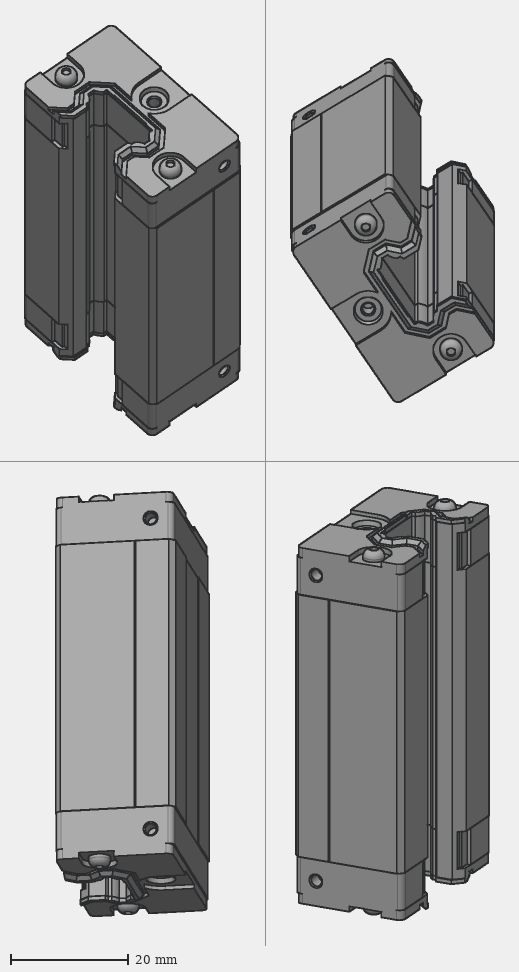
import cadquery as cq
import math


total_length = 66.1
block_length = 47.6
cap_thickness = 6.7
plate_thickness = 1.8
block_end = block_length / 2
cap_end = block_end + cap_thickness
plate_end = cap_end + plate_thickness
lip_end = total_length / 2
lip_height = lip_end - plate_end

block_width = 34.0
block_height = 20.8
block_chamfer = 1.0
side_groove_y = 13.95
side_groove_width = 0.2
side_groove_depth = 0.1
top_relief_width = 11.7
top_relief_depth = 0.2

cap_width = 33.45
top_inset = 0.22
cap_top = block_height - top_inset
cap_bottom = 0.05
cap_radius = 1.0
plate_top = cap_top - top_inset
plate_bottom = 0.1
plate_radius = 1.15

leg_gap = 5.5
leg_chamfer = 1.8
leg_top = 4.75
throat = 5.85
lower_bump_start = 5.1
lower_bump_top = 5.7
waist = 7.25
waist_bottom = 6.75
waist_top = 7.95
upper_bump_top = 9.05
channel_roof = 9.65
cap_clearance = 0.06
lip_clearance = 0.03
bump_bulge = 0.12

lip_leg_gap = 5.2
lip_notch_half_width = 4.1
lip_notch_depth = 0.2
lip_bevel = 0.75
seal_groove_width = 0.85
seal_groove_depth = 0.7

seal_leg = 6.15
seal_leg_bottom = 1.75
seal_leg_top = 4.55
seal_waist = 8.0
seal_roof = 10.45
seal_roof_half_width = 5.9
corner_angle = 45
corner_shift = math.tan(math.radians(corner_angle / 2))

leg_recess_outer = 9.1
leg_recess_middle = 7.15
leg_recess_inner = 6.2
leg_recess_depth = 0.75
leg_recess_deep = 1.15

screw_x = 13.48
screw_y = 7.17
screw_pocket_radius = 3.05
screw_pocket_depth = 1.0
screw_head_diameter = 3.8
screw_head_rim = 0.5
screw_dome_bulge = 0.22
socket_diameter = 1.5
socket_radius = socket_diameter / 2
socket_depth = 0.6

port_y = 15.32
port_pocket_radius = 3.92
port_pocket_depth = seal_groove_depth
port_seat_diameter = 5.0
port_seat_floor_diameter = 4.5
port_seat_depth = 0.9
port_bore_diameter = 2.0
port_mouth_diameter = 2.5
port_bore_depth = 3.0
side_port_y = 16.6
side_port_z = block_end + 3.95

overrun = 1.0


def slab(sketch_points, z_start, z_end):
    """Extrude a closed polygon in XY between two heights."""
    plane = cq.Workplane("XY").workplane(offset=z_start)
    return plane.polyline(sketch_points).close().extrude(z_end - z_start)


def mirror_points(right_half):
    """Close a right-hand outline with its mirror image across X = 0."""
    return right_half + [(-x, y) for x, y in reversed(right_half)]


def box_between(x_range, y_range, z_range):
    """Box that fills the given ranges."""
    (x0, x1), (y0, y1), (z0, z1) = x_range, y_range, z_range
    return cq.Workplane("XY").box(x1 - x0, y1 - y0, z1 - z0, centered=False).translate((x0, y0, z0))


def both_sides(shape):
    """Join a shape with its mirror image across X = 0."""
    return shape.union(shape.mirror("YZ"))


def make_block():
    half = block_width / 2
    relief = top_relief_width / 2
    relief_y = block_height - top_relief_depth
    outline = mirror_points([
        (half - block_chamfer, 0),
        (half, block_chamfer),
        (half, side_groove_y - side_groove_width / 2),
        (half - side_groove_depth, side_groove_y),
        (half, side_groove_y + side_groove_width / 2),
        (half, block_height - block_chamfer),
        (half - block_chamfer, block_height),
        (relief, block_height),
        (relief, relief_y),
    ])
    block = slab(outline, -block_end, block_end)
    return block.cut(rail_channel(leg_gap, 0, -block_end, block_end))


def bump_crest(start, end):
    """Middle point of an arc that bulges from the chord towards the channel centre."""
    dx = end[0] - start[0]
    dy = end[1] - start[1]
    length = math.hypot(dx, dy)
    toward_channel = bump_bulge / length
    return (
        (start[0] + end[0]) / 2 - dy * toward_channel,
        (start[1] + end[1]) / 2 + dx * toward_channel,
    )


def rail_channel(gap, clearance, z_start, z_end):
    """Space for the rail, with a convex bump beside each side of the waist.

    The legs stand at the given half gap; above them the wall is moved out by the clearance.
    """
    wall = throat + clearance
    roof = channel_roof + clearance
    lower_start = (wall, lower_bump_top)
    lower_end = (waist + clearance, waist_bottom)
    upper_start = (waist + clearance, waist_top)
    upper_end = (wall, upper_bump_top)
    sketch = cq.Workplane("XY").workplane(offset=z_start)
    sketch = sketch.moveTo(0, -overrun).lineTo(gap + leg_chamfer + overrun, -overrun)
    sketch = sketch.lineTo(gap, leg_chamfer).lineTo(gap, leg_top)
    sketch = sketch.lineTo(wall, lower_bump_start).lineTo(*lower_start)
    sketch = sketch.threePointArc(bump_crest(lower_start, lower_end), lower_end).lineTo(*upper_start)
    sketch = sketch.threePointArc(bump_crest(upper_start, upper_end), upper_end)
    sketch = sketch.lineTo(wall, roof).lineTo(0, roof).close()
    return both_sides(sketch.extrude(z_end - z_start))


def seal_outline(offset):
    """Outline around the channel, moved outward from the lip bevel edge."""
    shift = offset * corner_shift
    waist_low = seal_leg_top + seal_waist - seal_leg
    waist_high = seal_roof - (seal_waist - seal_roof_half_width)
    leg_low = seal_leg_bottom + shift
    return mirror_points([
        (seal_leg + offset + leg_low + overrun, -overrun),
        (seal_leg + offset, leg_low),
        (seal_leg + offset, seal_leg_top - shift),
        (seal_waist + offset, waist_low - shift),
        (seal_waist + offset, waist_high + shift),
        (seal_roof_half_width + shift, seal_roof + offset),
    ])


def make_cap():
    blank = box_between(
        (-cap_width / 2, cap_width / 2), (cap_bottom, cap_top), (block_end, cap_end)
    )
    return blank.edges("|Z").fillet(cap_radius)


def make_plate():
    blank = box_between(
        (-cap_width / 2, cap_width / 2), (plate_bottom, plate_top), (cap_end, plate_end)
    )
    return blank.edges("|Z").fillet(plate_radius)


def make_lip():
    """Seal lip that rises from the groove floor and narrows in a bevel to its top."""
    base = slab(seal_outline(lip_bevel), plate_end - seal_groove_depth, plate_end)
    bevel = cq.Workplane("XY").workplane(offset=plate_end).polyline(seal_outline(lip_bevel)).close()
    bevel = bevel.workplane(offset=lip_height).polyline(seal_outline(0)).close().loft(ruled=True)
    below = box_between(
        (-cap_width, cap_width), (-2 * overrun, plate_bottom), (block_end, lip_end + overrun)
    )
    return base.union(bevel).cut(below)


def port_pocket():
    floor = plate_end - port_pocket_depth
    slot = box_between(
        (-port_pocket_radius, port_pocket_radius), (port_y, block_height), (floor, lip_end)
    )
    end = cq.Workplane("XY").workplane(offset=floor).center(0, port_y)
    return slot.union(end.circle(port_pocket_radius).extrude(lip_end - floor))


def turned(profile, position):
    """Revolve a (radius, height) polygon about a Z axis at the given position."""
    solid = cq.Workplane("XZ").polyline(profile).close().revolve(360, (0, 0, 0), (0, 1, 0))
    return solid.translate(position)


def bore_profile():
    """Blind bore with a 45 degree mouth, pointing down from the origin."""
    bore = port_bore_diameter / 2
    mouth = port_mouth_diameter / 2
    return [
        (0, 0),
        (mouth, 0),
        (bore, bore - mouth),
        (bore, -port_bore_depth),
        (0, -port_bore_depth),
    ]


def end_port():
    seat = [
        (0, 0),
        (port_seat_diameter / 2, 0),
        (port_seat_floor_diameter / 2, -port_seat_depth),
        (0, -port_seat_depth),
    ]
    floor = plate_end - port_pocket_depth
    bore = turned(bore_profile(), (0, port_y, floor - port_seat_depth))
    return turned(seat, (0, port_y, floor)).union(bore)


def side_ports():
    bore = turned(bore_profile(), (0, 0, 0)).rotate((0, 0, 0), (0, 1, 0), 90)
    return both_sides(bore.translate((cap_width / 2, side_port_y, side_port_z)))


def screw_pockets():
    floor = plate_end - screw_pocket_depth
    slot = box_between(
        (screw_x, block_width / 2),
        (screw_y - screw_pocket_radius, screw_y + screw_pocket_radius),
        (floor, lip_end),
    )
    end = cq.Workplane("XY").workplane(offset=floor).center(screw_x, screw_y)
    return both_sides(slot.union(end.circle(screw_pocket_radius).extrude(lip_end - floor)))


def screw_heads():
    floor = plate_end - screw_pocket_depth
    radius = screw_head_diameter / 2
    height = lip_end - floor
    crest = (
        (radius + socket_radius) / 2 + screw_dome_bulge,
        (screw_head_rim + height) / 2 + screw_dome_bulge,
    )
    profile = cq.Workplane("XZ").lineTo(radius, 0).lineTo(radius, screw_head_rim)
    profile = profile.threePointArc(crest, (socket_radius, height))
    profile = profile.lineTo(socket_radius, height - socket_depth)
    profile = profile.lineTo(0, height - socket_depth).close()
    head = profile.revolve(360, (0, 0, 0), (0, 1, 0))
    return both_sides(head.translate((screw_x, screw_y, floor)))


def leg_recesses():
    z_range = (block_end, cap_end)
    shallow = box_between((leg_recess_middle, leg_recess_outer), (-overrun, leg_recess_depth), z_range)
    deep = box_between((leg_recess_inner, leg_recess_middle), (-overrun, leg_recess_deep), z_range)
    return both_sides(shallow.union(deep))


def make_end():
    """Complete +Z end: cap, cover plate, seal lip, ports and screws."""
    end = make_cap().union(make_plate())
    groove_floor = plate_end - seal_groove_depth
    end = end.cut(slab(seal_outline(lip_bevel + seal_groove_width), groove_floor, lip_end))
    end = end.cut(port_pocket())
    end = end.union(make_lip())
    end = end.cut(rail_channel(leg_gap, cap_clearance, block_end, plate_end))
    end = end.cut(rail_channel(lip_leg_gap, lip_clearance, plate_end, lip_end))
    notch = box_between(
        (-lip_notch_half_width, lip_notch_half_width),
        (leg_top, channel_roof + lip_notch_depth),
        (plate_end, lip_end),
    )
    end = end.cut(notch).cut(leg_recesses())
    end = end.cut(end_port()).cut(side_ports())
    return end.cut(screw_pockets()).union(screw_heads())


top_end = make_end()
result = make_block().union(top_end).union(top_end.mirror("XY"))